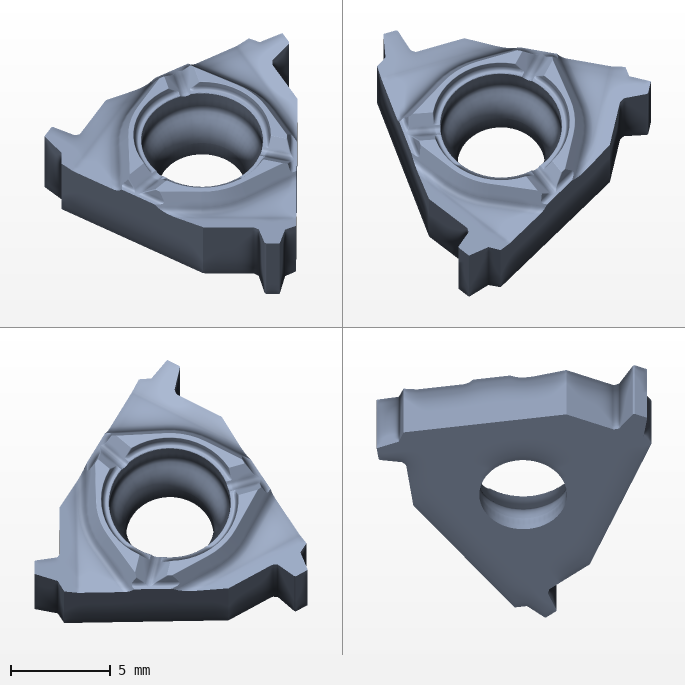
import cadquery as cq
import math

TEETH = 3
TEETH_PITCH = 360 / TEETH

TOTAL_HEIGHT = 4.2
INSCRIBED_RADIUS = 9.525 / 2
FLOOR_HEIGHT = 3.39
SLAB_HALF_SIZE = 12
CLEARANCE = 1
EDGE_TOLERANCE = 0.01

TIP_Y = 6.87
TIP_LEFT_X = -3.95
TIP_RIGHT_X = -3.205
TOOTH_ROOT_Y = 5.71
TOOTH_ROOT_LEFT_X = -4.215
TOOTH_ROOT_RIGHT_X = -2.89
TOOTH_HEEL_X = -2.67
SHOULDER_Y = 5.555
LEAD_ANGLE = 30
TIP_LEFT_ROUNDING = 0.03
TIP_RIGHT_ROUNDING = 0.11
ROOT_LEFT_ROUNDING = 0.06
ROOT_RIGHT_ROUNDING = 0.12
HEEL_ROUNDING = 0.20

RAMP_START_Y = 4.70
RAMP_ANGLE = 15
RAMP_BLEND_RADIUS = 0.5

BOSS_TOP_RADIUS = 3.71
BOSS_ARC_START = 90
BOSS_ARC_END = 122.3
BOSS_WALL_ANGLE = 39
BOSS_FOOT_RADIUS = 0.45

LEDGE_HEIGHT = 3.68
LEDGE_WIDTH = 0.13
COVE_RADIUS = 0.22
COVE_WALL_ANGLE = 67

NOTCH_AZIMUTH = 166.2
NOTCH_TOP_HALF_WIDTH = 0.80
NOTCH_FLOOR_HALF_WIDTH = 0.035
NOTCH_WALL_ANGLE = 38
NOTCH_LENGTH = 6.0
NOTCH_CORNER_OFFSET = 0.55
NOTCH_OUTER_END = 4.5

HOLE_RADIUS = 4.4 / 2
SEAT_RADIUS = 3.05
SEAT_TOP_HEIGHT = 3.80
SEAT_EDGE_ROUNDING = 0.03
SEAT_BLEND_RADIUS = 0.40
SEAT_CURVE_RADIUS = 2.15
SEAT_CURVE_END_HEIGHT = 0.89
RIM_TOP_RADIUS = 3.45
RIM_WALL_ANGLE = 15
RIM_FOOT_RADIUS = 0.2
RIM_DEPTH = TOTAL_HEIGHT - SEAT_TOP_HEIGHT
RIM_BOTTOM_RADIUS = RIM_TOP_RADIUS - RIM_DEPTH * math.tan(math.radians(RIM_WALL_ANGLE))
RING_MIDDLE_RADIUS = (SEAT_RADIUS + RIM_BOTTOM_RADIUS) / 2

NOTCH_OUTER_ROUNDING = 0.06
NOTCH_INNER_ROUNDING = 0.05
BOSS_EDGE_ROUNDING = 0.03


def polar(radius, angle):
    """Point at a radius and an angle in degrees."""
    turn = math.radians(angle)
    return (radius * math.cos(turn), radius * math.sin(turn))


def rotated(point, angle):
    """A plan point turned about the bore axis."""
    radius = math.hypot(point[0], point[1])
    return polar(radius, math.degrees(math.atan2(point[1], point[0])) + angle)


def around(shape):
    """Copies of a shape, one for each tooth."""
    return [shape.rotate((0, 0, 0), (0, 0, 1), i * TEETH_PITCH) for i in range(TEETH)]


def level_zone(half_size, height):
    """Selector for the edges that lie at one height around the bore axis."""
    return cq.selectors.BoxSelector(
        (-half_size, -half_size, height - EDGE_TOLERANCE),
        (half_size, half_size, height + EDGE_TOLERANCE),
    )


def make_outline_prism():
    """Plan outline: three straight sides joined by the cutting teeth."""
    lead_rise = (TOOTH_ROOT_LEFT_X + INSCRIBED_RADIUS) * math.tan(math.radians(LEAD_ANGLE))
    side_normal = math.radians(180 - TEETH_PITCH)
    shoulder_end_x = (INSCRIBED_RADIUS - SHOULDER_Y * math.sin(side_normal)) / math.cos(side_normal)
    tooth = [
        (-INSCRIBED_RADIUS, TOOTH_ROOT_Y - lead_rise),
        (TOOTH_ROOT_LEFT_X, TOOTH_ROOT_Y),
        (TIP_LEFT_X, TIP_Y),
        (TIP_RIGHT_X, TIP_Y),
        (TOOTH_ROOT_RIGHT_X, TOOTH_ROOT_Y),
        (TOOTH_HEEL_X, SHOULDER_Y),
        (shoulder_end_x, SHOULDER_Y),
    ]
    outline = [rotated(point, -i * TEETH_PITCH) for i in range(TEETH) for point in tooth]
    prism = cq.Workplane("XY").polyline(outline).close().extrude(TOTAL_HEIGHT)

    roundings = [
        ((TOOTH_ROOT_LEFT_X, TOOTH_ROOT_Y), ROOT_LEFT_ROUNDING),
        ((TIP_LEFT_X, TIP_Y), TIP_LEFT_ROUNDING),
        ((TIP_RIGHT_X, TIP_Y), TIP_RIGHT_ROUNDING),
        ((TOOTH_ROOT_RIGHT_X, TOOTH_ROOT_Y), ROOT_RIGHT_ROUNDING),
        ((TOOTH_HEEL_X, SHOULDER_Y), HEEL_ROUNDING),
    ]
    for corner, radius in roundings:
        for i in range(TEETH):
            x, y = rotated(corner, -i * TEETH_PITCH)
            upright_edge = cq.selectors.NearestToPointSelector((x, y, TOTAL_HEIGHT / 2))
            prism = prism.edges(upright_edge).fillet(radius)
    return prism


def make_boss_on_slab():
    """Floor slab with the tapered boss and the fillet around the foot of the boss."""
    boss_height = TOTAL_HEIGHT - FLOOR_HEIGHT
    foot_radius = BOSS_TOP_RADIUS + boss_height * math.tan(math.radians(BOSS_WALL_ANGLE))
    corner_half_angle = (BOSS_ARC_START - BOSS_ARC_END + TEETH_PITCH) / 2

    arc_middle_angle = (BOSS_ARC_START + BOSS_ARC_END) / 2
    corner_distance = foot_radius / math.cos(math.radians(corner_half_angle))
    floor = cq.Workplane("XY").workplane(offset=FLOOR_HEIGHT)
    outline = floor.moveTo(*polar(foot_radius, BOSS_ARC_START))
    for i in range(TEETH):
        turn = i * TEETH_PITCH
        outline = outline.threePointArc(
            polar(foot_radius, arc_middle_angle + turn), polar(foot_radius, BOSS_ARC_END + turn)
        )
        outline = outline.lineTo(*polar(corner_distance, BOSS_ARC_END + turn + corner_half_angle))
        outline = outline.lineTo(*polar(foot_radius, BOSS_ARC_START + turn + TEETH_PITCH))
    boss = outline.close().extrude(boss_height, taper=BOSS_WALL_ANGLE)

    slab = cq.Workplane("XY").box(
        2 * SLAB_HALF_SIZE, 2 * SLAB_HALF_SIZE, FLOOR_HEIGHT, centered=(True, True, False)
    )
    body = slab.union(boss)
    foot_zone = level_zone(2 * foot_radius, FLOOR_HEIGHT)
    return body.edges(foot_zone).fillet(BOSS_FOOT_RADIUS)


def make_ramp():
    """Rake ramp of the +Y tooth, blended into the floor."""
    slope = math.radians(RAMP_ANGLE)
    blend_reach = RAMP_BLEND_RADIUS * math.tan(slope / 2)
    blend_start_y = RAMP_START_Y - blend_reach
    blend_middle = (
        blend_start_y + RAMP_BLEND_RADIUS * math.sin(slope / 2),
        FLOOR_HEIGHT + RAMP_BLEND_RADIUS * (1 - math.cos(slope / 2)),
    )
    blend_end = (
        blend_start_y + RAMP_BLEND_RADIUS * math.sin(slope),
        FLOOR_HEIGHT + RAMP_BLEND_RADIUS * (1 - math.cos(slope)),
    )
    outer_y = TIP_Y + CLEARANCE
    outer_height = FLOOR_HEIGHT + (outer_y - RAMP_START_Y) * math.tan(slope)
    return (
        cq.Workplane("YZ")
        .moveTo(blend_start_y, 0)
        .lineTo(blend_start_y, FLOOR_HEIGHT)
        .threePointArc(blend_middle, blend_end)
        .lineTo(outer_y, outer_height)
        .lineTo(outer_y, 0)
        .close()
        .extrude(INSCRIBED_RADIUS + CLEARANCE, both=True)
    )


def make_ledge_cutter():
    """Material above the ledge of the -X side, up to the coved wall of the boss."""
    slope = math.radians(COVE_WALL_ANGLE)
    outer_x = -INSCRIBED_RADIUS - CLEARANCE
    cove_start_x = -INSCRIBED_RADIUS + LEDGE_WIDTH
    cove_middle = (
        cove_start_x + COVE_RADIUS * math.sin(slope / 2),
        LEDGE_HEIGHT + COVE_RADIUS * (1 - math.cos(slope / 2)),
    )
    cove_end = (
        cove_start_x + COVE_RADIUS * math.sin(slope),
        LEDGE_HEIGHT + COVE_RADIUS * (1 - math.cos(slope)),
    )
    clear_height = TOTAL_HEIGHT + CLEARANCE
    wall_end_x = cove_end[0] + (clear_height - cove_end[1]) / math.tan(slope)
    return (
        cq.Workplane("XZ")
        .moveTo(outer_x, LEDGE_HEIGHT)
        .lineTo(cove_start_x, LEDGE_HEIGHT)
        .threePointArc(cove_middle, cove_end)
        .lineTo(wall_end_x, clear_height)
        .lineTo(outer_x, clear_height)
        .close()
        .extrude(BOSS_TOP_RADIUS, both=True)
    )


def make_notch_cutter():
    """Flat-bottomed V groove running outwards from the bore, with rounded floor corners."""
    slope = math.radians(NOTCH_WALL_ANGLE)
    corner_reach = (TOTAL_HEIGHT - LEDGE_HEIGHT) / math.tan(slope)
    corner_half_width = NOTCH_TOP_HALF_WIDTH - corner_reach
    tangent_length = corner_half_width - NOTCH_FLOOR_HALF_WIDTH
    corner_radius = tangent_length / math.tan(slope / 2)
    arc_middle = (
        NOTCH_FLOOR_HALF_WIDTH + corner_radius * math.sin(slope / 2),
        LEDGE_HEIGHT + corner_radius * (1 - math.cos(slope / 2)),
    )
    arc_end = (
        NOTCH_FLOOR_HALF_WIDTH + corner_radius * math.sin(slope),
        LEDGE_HEIGHT + corner_radius * (1 - math.cos(slope)),
    )
    clear_height = TOTAL_HEIGHT + CLEARANCE
    clear_half_width = NOTCH_TOP_HALF_WIDTH + CLEARANCE / math.tan(slope)
    notch = (
        cq.Workplane("YZ")
        .moveTo(-NOTCH_FLOOR_HALF_WIDTH, LEDGE_HEIGHT)
        .lineTo(NOTCH_FLOOR_HALF_WIDTH, LEDGE_HEIGHT)
        .threePointArc(arc_middle, arc_end)
        .lineTo(clear_half_width, clear_height)
        .lineTo(-clear_half_width, clear_height)
        .lineTo(-arc_end[0], arc_end[1])
        .threePointArc((-arc_middle[0], arc_middle[1]), (-NOTCH_FLOOR_HALF_WIDTH, LEDGE_HEIGHT))
        .close()
        .extrude(NOTCH_LENGTH)
    )
    return notch.rotate((0, 0, 0), (0, 0, 1), NOTCH_AZIMUTH)


def make_bore_cutter():
    """Through hole, curved screw seat, seat cylinder and conical rim."""
    rim = (
        cq.Workplane("XY")
        .workplane(offset=SEAT_TOP_HEIGHT)
        .circle(RIM_BOTTOM_RADIUS)
        .extrude(RIM_DEPTH, taper=-RIM_WALL_ANGLE)
    )
    bore = make_seat_cutter().union(rim)
    seat_edge = bore.edges(level_zone(SEAT_RADIUS, SEAT_TOP_HEIGHT))
    seat_edge = seat_edge.filter(lambda edge: edge.radius() < RING_MIDDLE_RADIUS)
    return seat_edge.fillet(SEAT_EDGE_ROUNDING)


def make_seat_cutter():
    """Revolved hole and seat: a concave blend followed by a convex curve into the hole."""
    convex_centre = (HOLE_RADIUS + SEAT_CURVE_RADIUS, SEAT_CURVE_END_HEIGHT)
    concave_centre_x = SEAT_RADIUS - SEAT_BLEND_RADIUS
    centre_gap = SEAT_CURVE_RADIUS + SEAT_BLEND_RADIUS
    junction_angle = 180 - math.degrees(math.acos((convex_centre[0] - concave_centre_x) / centre_gap))
    concave_centre_z = convex_centre[1] + polar(centre_gap, junction_angle)[1]

    def convex_point(angle):
        x, z = polar(SEAT_CURVE_RADIUS, angle)
        return (convex_centre[0] + x, convex_centre[1] + z)

    def concave_point(angle):
        x, z = polar(SEAT_BLEND_RADIUS, angle)
        return (concave_centre_x + x, concave_centre_z + z)

    concave_start_angle = junction_angle - 180
    return (
        cq.Workplane("XZ")
        .moveTo(0, 0)
        .lineTo(HOLE_RADIUS, 0)
        .lineTo(HOLE_RADIUS, SEAT_CURVE_END_HEIGHT)
        .threePointArc(convex_point((180 + junction_angle) / 2), convex_point(junction_angle))
        .threePointArc(concave_point(concave_start_angle / 2), concave_point(0))
        .lineTo(SEAT_RADIUS, TOTAL_HEIGHT)
        .lineTo(0, TOTAL_HEIGHT)
        .close()
        .revolve(360, (0, 0, 0), (0, 1, 0))
    )


def round_notch_corners(body, distance, radius):
    """Round the upright corners of every notch at a distance from the bore axis."""
    middle_height = (LEDGE_HEIGHT + TOTAL_HEIGHT) / 2
    for i in range(TEETH):
        for side in (-1, 1):
            corner = (distance, side * NOTCH_CORNER_OFFSET)
            x, y = rotated(corner, NOTCH_AZIMUTH + i * TEETH_PITCH)
            corner_edge = cq.selectors.NearestToPointSelector((x, y, middle_height))
            body = body.edges(corner_edge).fillet(radius)
    return body


def round_rim_foot(body):
    """Blend the conical rim wall into the flat ring above the seat."""
    foot_zone = level_zone(RIM_TOP_RADIUS, SEAT_TOP_HEIGHT)

    def borders_rim_wall(edge):
        start = edge.startPoint()
        return edge.geomType() != "LINE" and math.hypot(start.x, start.y) > RING_MIDDLE_RADIUS

    return body.edges(foot_zone).filter(borders_rim_wall).fillet(RIM_FOOT_RADIUS)


top_form = make_boss_on_slab()
for ramp in around(make_ramp()):
    top_form = top_form.union(ramp)
insert = make_outline_prism().intersect(top_form)
for ledge_cutter in around(make_ledge_cutter()):
    insert = insert.cut(ledge_cutter)
for notch_cutter in around(make_notch_cutter()):
    insert = insert.cut(notch_cutter)
insert = insert.cut(make_bore_cutter())
insert = round_notch_corners(insert, NOTCH_OUTER_END, NOTCH_OUTER_ROUNDING)
insert = round_notch_corners(insert, RIM_BOTTOM_RADIUS, NOTCH_INNER_ROUNDING)
insert = round_rim_foot(insert)
result = insert.faces(">Z").edges().fillet(BOSS_EDGE_ROUNDING)